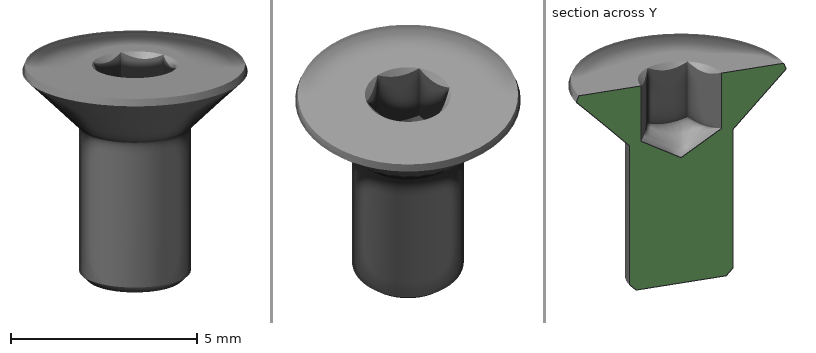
import cadquery as cq
import math

head_diameter = 6.05
shank_diameter = 3.0
total_height = 6.0

rim_height = 0.19
rim_top_diameter = 5.905

tip_chamfer = 0.205

socket_across_flats = 1.995
socket_depth = 1.635
floor_cone_angle = 30.0
mouth_angle = 45.0

head_radius = head_diameter / 2
shank_radius = shank_diameter / 2
rim_bottom_z = total_height - rim_height
shank_top_z = rim_bottom_z - (head_radius - shank_radius)
socket_across_corners = socket_across_flats / math.cos(math.radians(30))
corner_radius = socket_across_corners / 2


def make_body():
    """Revolved head and shank, standing on Z = 0."""
    return (
        cq.Workplane("XZ")
        .polyline([
            (0, 0),
            (shank_radius - tip_chamfer, 0),
            (shank_radius, tip_chamfer),
            (shank_radius, shank_top_z),
            (head_radius, rim_bottom_z),
            (rim_top_diameter / 2, total_height),
            (0, total_height),
        ])
        .close()
        .revolve(360, (0, 0, 0), (0, 1, 0))
    )


def make_socket():
    """Hexagonal cavity, corners on the X axis, ending in a cone."""
    cone_depth = corner_radius * math.tan(math.radians(floor_cone_angle))
    floor_z = total_height - socket_depth
    hexagon = (
        cq.Workplane("XY", origin=(0, 0, floor_z - cone_depth))
        .polygon(6, socket_across_corners)
        .extrude(socket_depth + cone_depth)
    )
    pointed_envelope = (
        cq.Workplane("XZ")
        .polyline([
            (0, floor_z - cone_depth),
            (corner_radius, floor_z),
            (corner_radius, total_height),
            (0, total_height),
        ])
        .close()
        .revolve(360, (0, 0, 0), (0, 1, 0))
    )
    return hexagon.intersect(pointed_envelope)


def make_mouth():
    """Cone that breaks the socket edges between its corners."""
    mouth_depth = corner_radius * math.tan(math.radians(mouth_angle))
    return (
        cq.Workplane("XZ")
        .polyline([
            (0, total_height - mouth_depth),
            (corner_radius, total_height),
            (0, total_height),
        ])
        .close()
        .revolve(360, (0, 0, 0), (0, 1, 0))
    )


result = make_body().cut(make_socket()).cut(make_mouth())